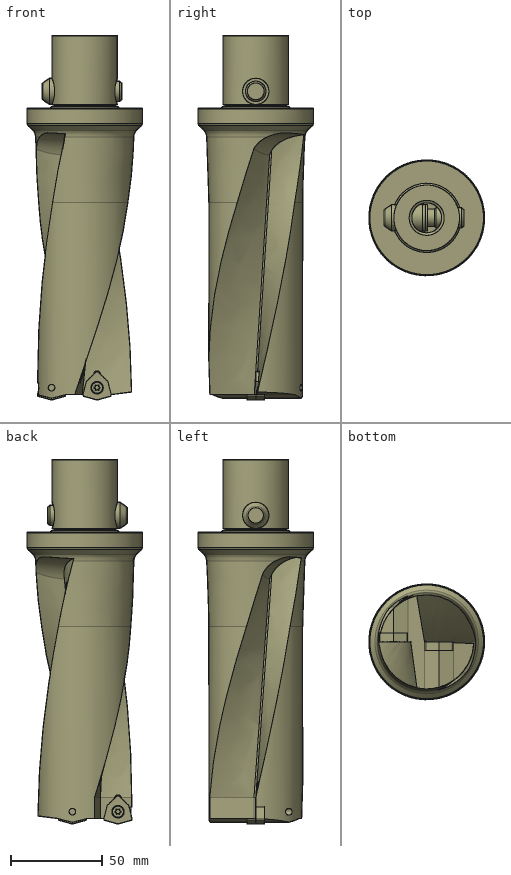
import cadquery as cq
import math


total_length = 200.0
shank_radius = 18.0
neck_radius = 17.0
neck_top = 162.2
neck_bottom = 161.2
flange_radius = 31.8
flange_top = 160.5
flange_bottom = 151.8
flange_edge = 0.5
flange_base_radius = 19.0
collar_radius = 28.5
collar_height = 148.0
cone_top_radius = 27.0
cone_top = 144.5
drill_radius = 25.8
cone_bottom = 108.5

bore_radius = 8.2
bore_bottom = 158.0
counterbore_radius = 9.5
counterbore_depth = 3.0
counterbore_taper = 0.8

insert_tip_radius = 9.2
insert_flank_radius = 6.8
insert_tip_rounding = 1.0
insert_thickness = 4.8
insert_height = insert_flank_radius
tip_count = 3
tip_spacing = 360 / tip_count
flank_angle = tip_spacing / 4
inner_insert_x = 6.8
outer_insert_x = -18.2
countersink_radius = 3.5
countersink_depth = 2.5
screw_radius = 1.8
screw_length = 13.0
head_recess = 0.5
socket_depth = 1.5
socket_radius = 1.1
lobe_radius = 0.5
lobe_count = 6
tip_relief_radius = 1.8
notch_top = 9.5

end_face_height = 3.0
insert_support_height = 1.0
end_face_rim_height = 4.5

seat_top = 14.5
flute_floor_width = 1.0
runout_start = 134.5
runout_end = 146.5
runout_tilt = 3.0
runout_width = 13.2
runout_lean = 0.33
runout_lead_in = 6.0
loft_steps = 6

pin_height = 169.5
pin_radius = 7.2
pin_left = -23.5
pin_cone_start = -19.5
pin_tip_radius = 5.0
pin_tip_edge = 0.8
ring_center = -1.5
ring_wire_radius = 0.8
ring_groove_radius = 5.8
pin_shoulder = 0.5
pin_neck_radius = 4.8
pin_neck_end = 4.5
pin_land_radius = 5.5
pin_chamfer_start = 19.0
pin_right = 20.5
pin_right_radius = 4.5

clearance_reach = 80.0
clearance_below = 2.0


def polar(radius, degrees):
    angle = math.radians(degrees)
    return cq.Vector(radius * math.cos(angle), radius * math.sin(angle), 0)



def holder_blank():
    """Revolved shank, neck groove, flange and drill shaft."""
    profile = (
        cq.Workplane("XZ")
        .moveTo(0, 0)
        .lineTo(drill_radius, 0)
        .lineTo(drill_radius, cone_bottom)
        .lineTo(cone_top_radius, cone_top)
        .tangentArcPoint((collar_radius, collar_height), relative=False)
        .lineTo(flange_radius - flange_edge, flange_bottom - 2 * flange_edge)
        .lineTo(flange_radius, flange_bottom)
        .lineTo(flange_radius, flange_top - flange_edge)
        .lineTo(flange_radius - flange_edge, flange_top)
        .lineTo(flange_base_radius, flange_top)
        .lineTo(shank_radius, neck_bottom)
        .lineTo(neck_radius, neck_bottom)
        .lineTo(neck_radius, neck_top - (shank_radius - neck_radius) / 2)
        .lineTo(shank_radius, neck_top)
        .lineTo(shank_radius, total_length)
        .lineTo(0, total_length)
        .close()
    )
    return profile.revolve(360, (0, 0, 0), (0, 1, 0))


def coolant_bore():
    step = total_length - counterbore_depth
    return (
        cq.Workplane("XZ")
        .moveTo(0, bore_bottom)
        .lineTo(bore_radius, bore_bottom)
        .lineTo(bore_radius, step - counterbore_taper)
        .lineTo(counterbore_radius, step)
        .lineTo(counterbore_radius, total_length)
        .lineTo(0, total_length)
        .close()
        .revolve(360, (0, 0, 0), (0, 1, 0))
    )


def flute_walls(flute, height):
    """Front-wall corner, back-wall corner and the two rim points of a flute at one height."""
    twisted = max(height - flute["twist_start"], 0)
    share = twisted / (runout_start - flute["twist_start"])
    start = cq.Vector(*flute["corner_at_start"])
    back_corner = start + (cq.Vector(*flute["corner_at_runout"]) - start) * share
    front_angle = flute["front_at_start"] + flute["front_twist"] * twisted
    back_angle = flute["back_at_start"] + flute["back_twist"] * twisted
    front_rim = polar(drill_radius, front_angle)
    back_rim = polar(drill_radius, back_angle)
    floor_direction = polar(1, flute["back_at_start"] - 90)
    front_corner = back_corner + floor_direction * flute_floor_width
    return front_corner, back_corner, front_rim, back_rim


def flute_section(flute, height):
    """Closed flute outline at one height, carried well outside the holder."""
    front_corner, back_corner, front_rim, back_rim = flute_walls(flute, height)
    front_out = front_rim + (front_rim - front_corner).normalized() * drill_radius
    back_out = back_rim + (back_rim - back_corner).normalized() * drill_radius
    middle_out = (front_out + back_out).normalized() * (3 * drill_radius)
    points = [front_corner, front_out, middle_out, back_out, back_corner]
    return cq.Wire.makePolygon([p + cq.Vector(0, 0, height) for p in points], close=True)


def runout_limit(flute):
    """Space below the arc that closes the upper end of a flute."""
    front_corner, _, front_rim, _ = flute_walls(flute, runout_start)
    wall = front_rim - front_corner
    wall_angle = math.degrees(math.atan2(wall.y, wall.x))
    profile = (
        cq.Workplane("YZ")
        .moveTo(-clearance_reach, -clearance_below)
        .lineTo(-clearance_reach, runout_start - runout_lead_in)
        .lineTo(-runout_lean * runout_lead_in, runout_start - runout_lead_in)
        .lineTo(0, runout_start)
        .tangentArcPoint((runout_width, runout_end), relative=False)
        .lineTo(clearance_reach, runout_end)
        .lineTo(clearance_reach, -clearance_below)
        .close()
    )
    block = profile.extrude(clearance_reach, both=True)
    block = block.rotate((0, 0, runout_start), (0, 1, runout_start), -runout_tilt)
    return block.rotate((0, 0, 0), (0, 0, 1), wall_angle).translate(front_corner)


def flute_cutter(flute):
    """Twisted flute with its runout, and below it the straight length if there is one."""
    twist_start = flute["twist_start"]
    step = (flange_bottom - twist_start) / loft_steps
    heights = [twist_start + step * i for i in range(loft_steps + 1)]
    twist = cq.Solid.makeLoft([flute_section(flute, height) for height in heights], False)
    cutter = cq.Workplane(twist).intersect(runout_limit(flute))
    if twist_start > 0:
        straight = cq.Solid.makeLoft([flute_section(flute, height) for height in (0, twist_start)], True)
        cutter = cutter.union(cq.Workplane(straight))
    return cutter


def end_face_cutter():
    """Everything below the end face, which dips to support each insert."""
    half_insert = insert_tip_radius * math.cos(math.radians(flank_angle))
    points = [(-clearance_reach, end_face_height)]
    for center in (outer_insert_x, inner_insert_x):
        points.append((center - half_insert, end_face_height))
        points.append((center, insert_support_height))
        points.append((center + half_insert, end_face_height))
    points.append((drill_radius, end_face_rim_height))
    points.append((drill_radius, -clearance_below))
    points.append((-clearance_reach, -clearance_below))
    return cq.Workplane("XZ").polyline(points).close().extrude(clearance_reach, both=True)



def place(shape, offset, turn):
    """Move a shape from the axis to its insert station."""
    return shape.translate((offset, 0, insert_height)).rotate((0, 0, 0), (0, 0, 1), turn)


def insert_blank():
    """Trigon plate with three rounded cutting tips."""
    points = []
    for i in range(tip_count):
        tip = polar(insert_tip_radius, 90 + tip_spacing * i)
        flank = polar(insert_flank_radius, 90 + tip_spacing * (i + 0.5))
        points += [(tip.x, tip.y), (flank.x, flank.y)]
    plate = cq.Workplane("XZ").polyline(points).close().extrude(-insert_thickness)
    middle = insert_thickness / 2
    for i in range(tip_count):
        tip = polar(insert_tip_radius, 90 + tip_spacing * i)
        edge = cq.NearestToPointSelector((tip.x, middle, tip.y))
        plate = plate.edges(edge).fillet(insert_tip_rounding)
    return plate


def screw_envelope(top):
    """Countersunk head and shank, from a given depth below the insert face down."""
    slope = (countersink_radius - screw_radius) / countersink_depth
    return (
        cq.Workplane("XY")
        .moveTo(0, top)
        .lineTo(countersink_radius - slope * top, top)
        .lineTo(screw_radius, countersink_depth)
        .lineTo(screw_radius, screw_length)
        .lineTo(0, screw_length)
        .close()
        .revolve(360, (0, 0, 0), (0, 1, 0))
    )


def make_insert(offset, turn):
    return place(insert_blank().cut(screw_envelope(0)), offset, turn)


def make_screw(offset, turn):
    """Countersunk screw with a lobed socket."""
    floor = head_recess + socket_depth
    lobes = cq.Workplane("XZ").polarArray(socket_radius, 0, 360, lobe_count).circle(lobe_radius)
    socket = cq.Workplane("XZ").circle(socket_radius).extrude(-floor).union(lobes.extrude(-floor))
    return place(screw_envelope(head_recess).cut(socket), offset, turn)


def insert_seat(offset, turn):
    """Pocket, tip relief and through screw hole of one insert."""
    tip_center = insert_tip_radius - tip_relief_radius
    relief = (
        cq.Workplane("XZ")
        .center(0, tip_center)
        .circle(tip_relief_radius)
        .extrude(-insert_thickness)
    )
    hole = cq.Workplane("XZ").circle(screw_radius).extrude(-clearance_reach)
    return place(insert_blank().union(relief).union(hole), offset, turn)


def outer_seat_notch():
    """Opening that bares the outer flank of the outer insert."""
    flank_x = insert_flank_radius * math.cos(math.radians(flank_angle))
    notch = cq.Workplane("XY").box(drill_radius, insert_thickness, notch_top, centered=False)
    return place(notch.translate((flank_x, 0, -insert_height)), -outer_insert_x, 180)



def make_pin():
    """Stepped pin with a conical left head and a groove for the seal ring."""
    points = [
        (pin_left, 0),
        (pin_left, pin_tip_radius - pin_tip_edge),
        (pin_left + pin_tip_edge, pin_tip_radius),
        (pin_cone_start, pin_radius),
        (ring_center - ring_wire_radius, pin_radius),
        (ring_center - ring_wire_radius, ring_groove_radius),
        (ring_center + ring_wire_radius, ring_groove_radius),
        (ring_center + ring_wire_radius, pin_radius),
        (pin_shoulder, pin_radius),
        (pin_shoulder, pin_neck_radius),
        (pin_neck_end, pin_neck_radius),
        (pin_neck_end + pin_land_radius - pin_neck_radius, pin_land_radius),
        (pin_chamfer_start, pin_land_radius),
        (pin_right, pin_right_radius),
        (pin_right, 0),
    ]
    pin = cq.Workplane("XZ").polyline(points).close().revolve(360, (0, 0, 0), (1, 0, 0))
    return pin.translate((0, 0, pin_height))


def make_seal_ring():
    ring_radius = ring_groove_radius + ring_wire_radius
    ring = cq.Solid.makeTorus(
        ring_radius,
        ring_wire_radius,
        cq.Vector(ring_center, 0, pin_height),
        cq.Vector(1, 0, 0),
    )
    return cq.Workplane(ring)


def pin_bore():
    """Cross bore through the shank that fits the thick length of the pin."""
    return cq.Workplane("YZ").center(0, pin_height).circle(pin_radius).extrude(drill_radius, both=True)



flutes = [
    {
        "twist_start": 0,
        "corner_at_start": (-1.5, 0, 0),
        "corner_at_runout": (11.2, 8.5, 0),
        "front_at_start": 255.5,
        "front_twist": 0.75,
        "back_at_start": 360.0,
        "back_twist": 0.515,
    },
    {
        "twist_start": seat_top,
        "corner_at_start": (-8.5, 0, 0),
        "corner_at_runout": (-11.2, -8.5, 0),
        "front_at_start": 102.0,
        "front_twist": 0.71,
        "back_at_start": 180.0,
        "back_twist": 0.5,
    },
]
insert_stations = [(inner_insert_x, 0), (-outer_insert_x, 180)]

holder = holder_blank().cut(coolant_bore()).cut(pin_bore())
for flute in flutes:
    holder = holder.cut(flute_cutter(flute))
holder = holder.cut(end_face_cutter()).cut(outer_seat_notch())
for offset, turn in insert_stations:
    holder = holder.cut(insert_seat(offset, turn))

inserts = [make_insert(offset, turn) for offset, turn in insert_stations]
screws = [make_screw(offset, turn) for offset, turn in insert_stations]
pin = make_pin()
seal_ring = make_seal_ring()

bodies = [holder, pin, seal_ring, *inserts, *screws]
result = cq.Compound.makeCompound([body.val() for body in bodies])